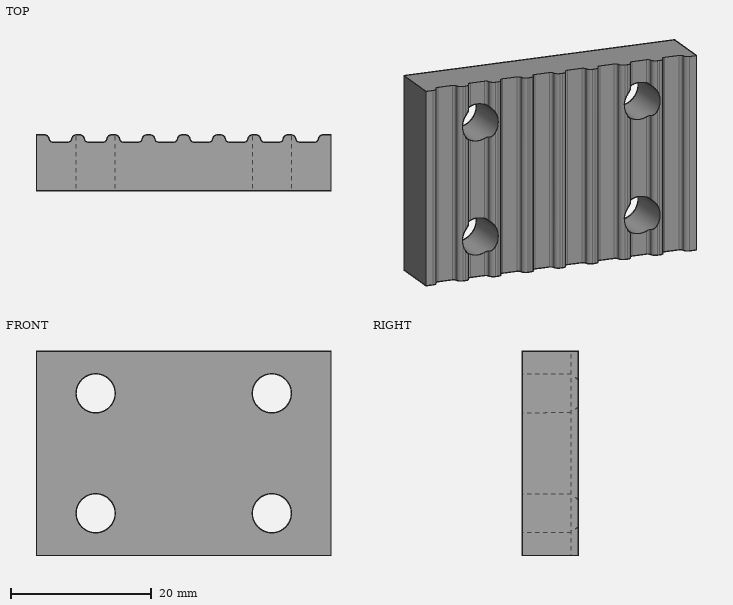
import cadquery as cq
import math

length = 41.8
thickness = 8.0
height = 29.0

hole_diameter = 5.5
hole_spacing_x = 25.0
hole_spacing_z = 17.0

groove_count = 8
groove_depth = 1.05
tooth_mid_width = 1.8
tooth_pitch = (length - tooth_mid_width) / groove_count
flank_angle = 15.0
tip_radius = 0.75
root_radius = 0.45

root_y = thickness - groove_depth
flank_run = groove_depth * math.tan(math.radians(flank_angle))
groove_mid_width = tooth_pitch - tooth_mid_width
groove_half_mouth = (groove_mid_width + flank_run) / 2
groove_half_floor = (groove_mid_width - flank_run) / 2

first_groove_x = -(groove_count - 1) / 2 * tooth_pitch
groove_centers = [first_groove_x + i * tooth_pitch for i in range(groove_count)]


def sharp_plate():
    """Plate with trapezoidal grooves along its full height, corners still sharp."""
    points = [(-length / 2, 0), (-length / 2, thickness)]
    for x in groove_centers:
        points += [
            (x - groove_half_mouth, thickness),
            (x - groove_half_floor, root_y),
            (x + groove_half_floor, root_y),
            (x + groove_half_mouth, thickness),
        ]
    points += [(length / 2, thickness), (length / 2, 0)]
    return cq.Workplane("XY").polyline(points).close().extrude(height / 2, both=True)


def round_groove_corners(body, half_width, y, radius):
    """Fillet the two vertical edges of every groove at depth y, half_width from its centre."""
    edges = []
    for x in groove_centers:
        for side in (-1, 1):
            selector = cq.NearestToPointSelector((x + side * half_width, y, 0))
            edges.append(body.edges("|Z").edges(selector).val())
    return body.newObject(edges).fillet(radius)


def mounting_holes():
    """Cylinders running through the full thickness."""
    return (
        cq.Workplane("XZ")
        .rarray(hole_spacing_x, hole_spacing_z, 2, 2)
        .circle(hole_diameter / 2)
        .extrude(-thickness)
    )


plate = sharp_plate()
plate = round_groove_corners(plate, groove_half_mouth, thickness, tip_radius)
plate = round_groove_corners(plate, groove_half_floor, root_y, root_radius)
result = plate.cut(mounting_holes())